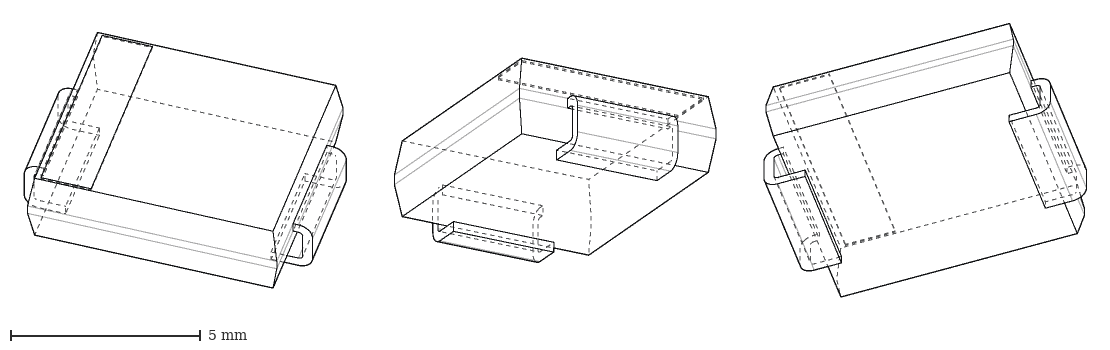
import cadquery as cq

HOUSING_LENGTH = 6.87
HOUSING_WIDTH = 5.9
HOUSING_BOTTOM = 0.325
HOUSING_TOP = 2.48
TAPER_INSET = 0.15

LEAD_SPAN = 7.95
LEAD_WIDTH = 3.005
LEAD_HEIGHT = 1.535
LEAD_THICKNESS = 0.28
LEAD_FOOT = 1.145
BEND_OUTER_RADIUS = 0.39
BEND_INNER_RADIUS = BEND_OUTER_RADIUS - LEAD_THICKNESS

BAND_TOP = LEAD_HEIGHT
BAND_BOTTOM = BAND_TOP - LEAD_THICKNESS

MARK_LENGTH = 1.38
MARK_END_MARGIN = 0.3
MARK_SIDE_MARGIN = 0.22
MARK_WIDTH = HOUSING_WIDTH - 2 * MARK_SIDE_MARGIN
MARK_THICKNESS = 0.04


def make_mark():
    center_x = -HOUSING_LENGTH / 2 + MARK_END_MARGIN + MARK_LENGTH / 2
    return (
        cq.Workplane("XY", origin=(center_x, 0, HOUSING_TOP - MARK_THICKNESS))
        .rect(MARK_LENGTH, MARK_WIDTH)
        .extrude(MARK_THICKNESS)
    )


def make_tapered_half(band_z, end_z):
    """Loft from the full outline at the band to the inset outer face."""
    return (
        cq.Workplane("XY", origin=(0, 0, band_z))
        .rect(HOUSING_LENGTH, HOUSING_WIDTH)
        .workplane(offset=end_z - band_z)
        .rect(HOUSING_LENGTH - 2 * TAPER_INSET, HOUSING_WIDTH - 2 * TAPER_INSET)
        .loft(ruled=True)
    )


def make_housing(mark):
    band = (
        cq.Workplane("XY", origin=(0, 0, BAND_BOTTOM))
        .rect(HOUSING_LENGTH, HOUSING_WIDTH)
        .extrude(BAND_TOP - BAND_BOTTOM)
    )
    upper_half = make_tapered_half(BAND_TOP, HOUSING_TOP)
    lower_half = make_tapered_half(BAND_BOTTOM, HOUSING_BOTTOM)
    return band.union(upper_half).union(lower_half).cut(mark)


def make_lead(side):
    """C-shaped lead butting against the housing end; side is -1 or +1 along X."""
    outer_x = side * LEAD_SPAN / 2
    inner_x = outer_x - side * LEAD_THICKNESS
    housing_x = side * HOUSING_LENGTH / 2
    foot_x = outer_x - side * LEAD_FOOT
    strip = (
        cq.Workplane("XZ")
        .moveTo(housing_x, LEAD_HEIGHT)
        .lineTo(outer_x, LEAD_HEIGHT)
        .lineTo(outer_x, 0)
        .lineTo(foot_x, 0)
        .lineTo(foot_x, LEAD_THICKNESS)
        .lineTo(inner_x, LEAD_THICKNESS)
        .lineTo(inner_x, BAND_BOTTOM)
        .lineTo(housing_x, BAND_BOTTOM)
        .close()
        .extrude(LEAD_WIDTH / 2, both=True)
    )
    outward = ">X" if side > 0 else "<X"
    strip = strip.edges(f"|Y and {outward}").fillet(BEND_OUTER_RADIUS)
    inner_corners = cq.selectors.BoxSelector(
        (inner_x - BEND_INNER_RADIUS, -LEAD_WIDTH, 0),
        (inner_x + BEND_INNER_RADIUS, LEAD_WIDTH, LEAD_HEIGHT),
    )
    return strip.edges("|Y").edges(inner_corners).fillet(BEND_INNER_RADIUS)


mark = make_mark()
housing = make_housing(mark)
leads = [make_lead(side) for side in (-1, 1)]

result = cq.Compound.makeCompound([housing.val(), mark.val(), *[lead.val() for lead in leads]])